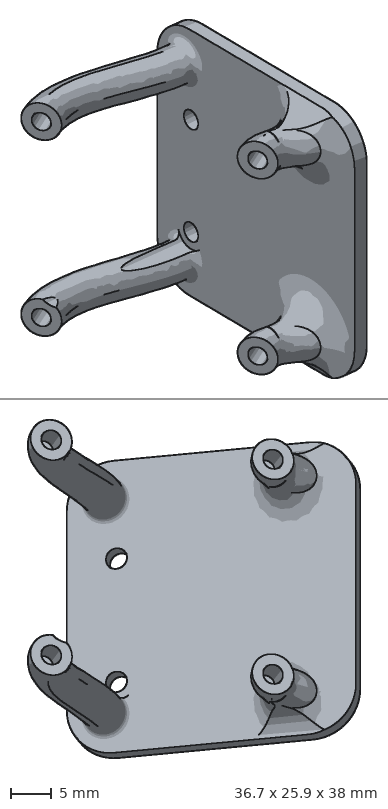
import cadquery as cq
import math

PLATE_WIDTH = 36.7
PLATE_HEIGHT = 38.0
PLATE_THICKNESS = 2.0
CORNER_RADIUS = 6.0
OVERALL_DEPTH = 25.88

HOLE_DIAMETER = 2.65
HOLE_X = -12.05
HOLE_SPACING = 16.05
HOLE_MID_Z = -1.8
SCREW_HEAD_RADIUS = 2.45

POST_RADIUS = 2.62
POST_Z = 14.0
POST_SECTIONS = 7
TIP_TILT = math.radians(30)
TIP_SPACING = 24.3
BORE_DIAMETER = 2.5
BORE_DEPTH = 4.0

LONG_BASE_X = -13.38
LONG_TIP_X = -14.05
LONG_TIP_DEPTH = OVERALL_DEPTH - POST_RADIUS * math.sin(TIP_TILT)
LONG_BEND = 23.55
COLLAR_HEIGHT = 1.0

SHORT_TIP_X = LONG_TIP_X + TIP_SPACING
SHORT_BASE_X = SHORT_TIP_X + 1.15
SHORT_TIP_DEPTH = 10.65
SHORT_BEND = 12.15

FLARE_FOOT_RADIUS = 7.55
FLARE_INNER_ARC = 4.9
FLARE_OUTER_ARC = 6.0
FLARE_SECTIONS = 9
EDGE_BLEND_DEPTH = 3.42


def front_plane(x, z, depth):
    """Plane facing -Y at a depth in front of the plate's back face; its x runs along X."""
    return cq.Plane(origin=(x, -depth, z), xDir=(1, 0, 0), normal=(0, -1, 0))


def make_slab(thickness):
    """Plate outline with rounded corners, raised from the back face towards -Y."""
    return (
        cq.Workplane(front_plane(0, 0, 0))
        .rect(PLATE_WIDTH, PLATE_HEIGHT)
        .extrude(thickness)
        .edges("|Y")
        .fillet(CORNER_RADIUS)
    )


def loft_ellipses(sections):
    """Loft through (plane, half width, half height) ellipses."""
    wires = []
    for plane, half_width, half_height in sections:
        ellipse = cq.Workplane(plane).ellipse(half_width, half_height)
        wires.append(ellipse.wires().val())
    return cq.Workplane(obj=cq.Solid.makeLoft(wires, False))


def make_curved_post(base_x, base_depth, tip_x, tip_depth, bend):
    """Post from a circle parallel to the plate to a tilted tip circle, along a cubic axis.

    Each section blends the end circles, so the post is a little slimmer half way along.
    """
    sections = []
    for i in range(POST_SECTIONS):
        t = i / (POST_SECTIONS - 1)
        tip_share = t * t * (3 - 2 * t)
        base_share = 1 - tip_share
        base_pull = bend * t * (1 - t) ** 2
        tip_pull = -bend * t * t * (1 - t)
        x = base_share * base_x + tip_share * tip_x + tip_pull * math.sin(TIP_TILT)
        depth = base_share * base_depth + tip_share * tip_depth + base_pull + tip_pull * math.cos(TIP_TILT)
        across_x = base_share + tip_share * math.cos(TIP_TILT)
        across_y = tip_share * math.sin(TIP_TILT)
        plane = cq.Plane(
            origin=(x, -depth, POST_Z),
            xDir=(across_x, across_y, 0),
            normal=(across_y, -across_x, 0),
        )
        sections.append((plane, POST_RADIUS * math.hypot(across_x, across_y), POST_RADIUS))
    return loft_ellipses(sections)


def make_bore(tip_x, tip_depth):
    """Blind hole square to a tilted tip."""
    inward = cq.Vector(-math.sin(TIP_TILT), math.cos(TIP_TILT), 0)
    mouth = cq.Vector(tip_x, -tip_depth, POST_Z)
    return cq.Workplane(obj=cq.Solid.makeCylinder(BORE_DIAMETER / 2, BORE_DEPTH, mouth, inward))


def make_collar():
    """Round root of a long post, filleted into the plate."""
    top = PLATE_THICKNESS + COLLAR_HEIGHT
    foot_radius = POST_RADIUS + COLLAR_HEIGHT
    arc_inset = COLLAR_HEIGHT * (1 - math.sqrt(0.5))
    return (
        cq.Workplane("XY", origin=(LONG_BASE_X, 0, POST_Z))
        .lineTo(foot_radius, 0)
        .lineTo(foot_radius, -PLATE_THICKNESS)
        .threePointArc((POST_RADIUS + arc_inset, -PLATE_THICKNESS - arc_inset), (POST_RADIUS, -top))
        .lineTo(0, -top)
        .close()
        .revolve(360, (0, 0, 0), (0, 1, 0))
    )


def make_long_post():
    base_depth = PLATE_THICKNESS + COLLAR_HEIGHT
    post = make_curved_post(LONG_BASE_X, base_depth, LONG_TIP_X, LONG_TIP_DEPTH, LONG_BEND)
    return post.union(make_collar()).cut(make_bore(LONG_TIP_X, LONG_TIP_DEPTH))


def fillet_reach(arc_radius, height):
    """Distance from the flare axis to a fillet arc at a height above the plate."""
    below_top = max(arc_radius - height, 0)
    return FLARE_FOOT_RADIUS - math.sqrt(arc_radius**2 - below_top**2)


def make_edge_blend():
    """Space below a concave curve that runs from the plate's upper edge to the post's top side."""
    half_height = PLATE_HEIGHT / 2
    post_top = POST_Z + POST_RADIUS
    return (
        cq.Workplane("YZ", origin=(-PLATE_WIDTH / 2, 0, 0))
        .lineTo(-OVERALL_DEPTH, 0)
        .lineTo(-OVERALL_DEPTH, post_top)
        .lineTo(-PLATE_THICKNESS - EDGE_BLEND_DEPTH, post_top)
        .tangentArcPoint((-PLATE_THICKNESS, half_height), relative=False)
        .lineTo(0, half_height)
        .close()
        .extrude(PLATE_WIDTH)
    )


def make_flare():
    """Trumpet-shaped root of a short post, kept within the plate outline."""
    sections = []
    for i in range(FLARE_SECTIONS):
        height = FLARE_OUTER_ARC * (1 - math.cos(math.pi / 2 * i / (FLARE_SECTIONS - 1)))
        inner = fillet_reach(FLARE_INNER_ARC, height)
        outer = fillet_reach(FLARE_OUTER_ARC, height)
        center_x = SHORT_TIP_X + (outer - inner) / 2
        plane = front_plane(center_x, POST_Z, PLATE_THICKNESS + height)
        sections.append((plane, (outer + inner) / 2, inner))
    bounds = make_edge_blend().intersect(make_slab(OVERALL_DEPTH))
    return loft_ellipses(sections).intersect(bounds)


def make_short_post():
    post = make_curved_post(SHORT_BASE_X, PLATE_THICKNESS, SHORT_TIP_X, SHORT_TIP_DEPTH, SHORT_BEND)
    return post.union(make_flare()).cut(make_bore(SHORT_TIP_X, SHORT_TIP_DEPTH))


def make_screw_space(hole_z):
    """Hole through the plate plus the clear space in front of it for a screw head."""
    hole = cq.Workplane(front_plane(HOLE_X, hole_z, 0)).circle(HOLE_DIAMETER / 2).extrude(PLATE_THICKNESS)
    head_room = (
        cq.Workplane(front_plane(HOLE_X, hole_z, PLATE_THICKNESS))
        .circle(SCREW_HEAD_RADIUS)
        .extrude(OVERALL_DEPTH)
    )
    return hole.union(head_room)


upper_space = cq.Workplane("XY").rect(2 * PLATE_WIDTH, 2 * OVERALL_DEPTH).extrude(PLATE_HEIGHT)
upper_half = make_slab(PLATE_THICKNESS).intersect(upper_space)
upper_half = upper_half.union(make_short_post()).union(make_long_post())
result = upper_half.union(upper_half.mirror("XY")).clean()

for side in (-1, 1):
    result = result.cut(make_screw_space(HOLE_MID_Z + side * HOLE_SPACING / 2))